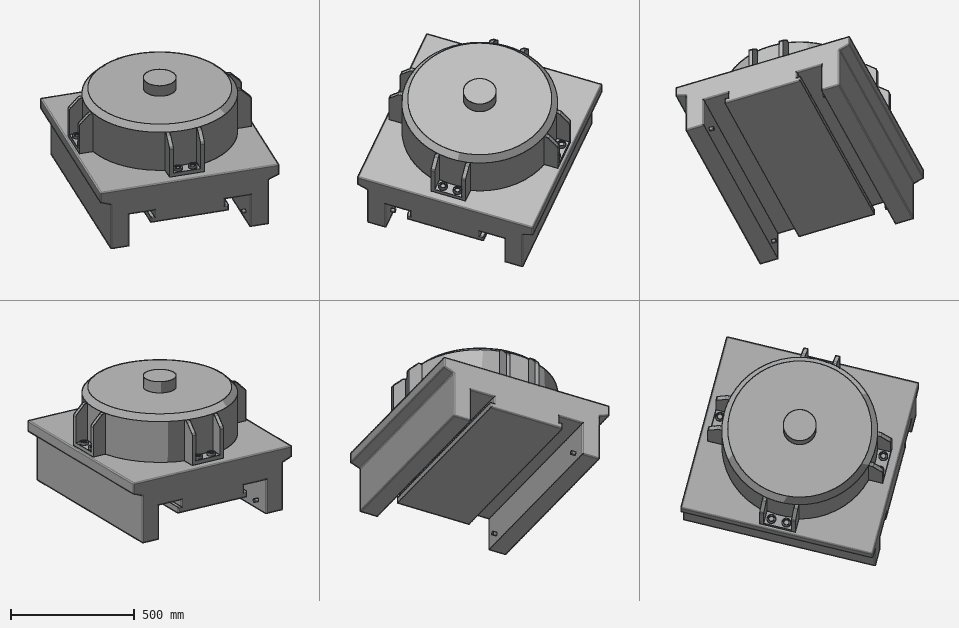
import cadquery as cq

base_length = 800.0
plate_width = 756.0
base_height = 270.0
plate_edge_height = 47.0
plate_taper_height = 17.0
leg_outer_y = 334.0
leg_thickness = 78.0
channel_ceiling_z = 149.0
tee_neck_y = 150.0
tee_foot_y = 164.0
tee_foot_top_z = 119.0
tee_foot_bottom_z = 94.0
edge_radius = 5.0

pin_diameter = 15.0
pin_length = 17.0
pin_z = 39.0
pin_x = 334.0

total_height = 521.0
housing_diameter = 629.0
housing_top_z = 472.0
housing_bevel = 24.0
boss_diameter = 133.0

bracket_count = 4
bracket_reach = 364.0
bracket_width = 149.0
bracket_wall = 17.0
bracket_floor = 17.0
bracket_slope = 44.0
bracket_bend_radius = 14.0

bolt_radial_place = 340.0
bolt_spacing = 62.0
bolt_head_diameter = 35.0
bolt_head_height = 10.0
bolt_head_round = 1.0
bolt_socket_diameter = 22.0
bolt_socket_depth = 5.0

plate_half_width = plate_width / 2
leg_inner_y = leg_outer_y - leg_thickness
housing_radius = housing_diameter / 2
bracket_top_z = housing_top_z - housing_bevel


def make_base():
    """Plate on two legs, with a T-shaped rail hanging between the legs."""
    plate_edge_z = base_height - plate_edge_height
    half_profile = [
        (plate_half_width, base_height),
        (plate_half_width, plate_edge_z),
        (leg_outer_y, plate_edge_z - plate_taper_height),
        (leg_outer_y, 0),
        (leg_inner_y, 0),
        (leg_inner_y, channel_ceiling_z),
        (tee_neck_y, channel_ceiling_z),
        (tee_neck_y, tee_foot_top_z),
        (tee_foot_y, tee_foot_top_z),
        (tee_foot_y, tee_foot_bottom_z),
    ]
    mirrored_profile = [(-y, z) for y, z in reversed(half_profile)]
    base = (
        cq.Workplane("YZ")
        .polyline(half_profile + mirrored_profile)
        .close()
        .extrude(base_length / 2, both=True)
    )
    end_edges = base.edges("#X")
    leg_middle_y = leg_outer_y - leg_thickness / 2
    outer_long_edges = base.edges("|X").filter(lambda edge: abs(edge.Center().y) > leg_middle_y)
    return base.newObject(end_edges.vals() + outer_long_edges.vals()).fillet(edge_radius)


def make_pin(x, side):
    """Pin on the inner face of one leg, pointing to the middle of the channel."""
    start = cq.Vector(x, side * leg_inner_y, pin_z)
    inward = cq.Vector(0, -side, 0)
    return cq.Workplane(cq.Solid.makeCylinder(pin_diameter / 2, pin_length, start, inward))


def make_housing():
    """Bevelled round housing with the boss at its centre."""
    housing = (
        cq.Workplane("XY", origin=(0, 0, base_height))
        .circle(housing_radius)
        .extrude(housing_top_z - base_height)
        .faces(">Z")
        .chamfer(housing_bevel)
    )
    boss = (
        cq.Workplane("XY", origin=(0, 0, housing_top_z))
        .circle(boss_diameter / 2)
        .extrude(total_height - housing_top_z)
    )
    return housing.union(boss)


def make_bracket():
    """Bracket on the +X side: two sloped cheeks, a floor and two bolt heads."""
    inner_end = housing_radius - bracket_slope
    slope_start_x = bracket_reach - bracket_slope
    slope_end_z = bracket_top_z - bracket_slope
    body = (
        cq.Workplane("XZ")
        .moveTo(inner_end, base_height)
        .lineTo(bracket_reach, base_height)
        .lineTo(bracket_reach, slope_end_z)
        .lineTo(slope_start_x, bracket_top_z)
        .lineTo(inner_end, bracket_top_z)
        .close()
        .extrude(bracket_width / 2, both=True)
    )
    selection_margin = 1.0
    slope_ends = cq.selectors.BoxSelector(
        (slope_start_x - selection_margin, -bracket_width, slope_end_z - selection_margin),
        (bracket_reach + selection_margin, bracket_width, bracket_top_z + selection_margin),
    )
    body = body.edges("|Y").edges(slope_ends).fillet(bracket_bend_radius)

    floor_z = base_height + bracket_floor
    opening = cq.Workplane("XY", origin=(0, 0, floor_z)).box(
        2 * bracket_reach,
        bracket_width - 2 * bracket_wall,
        bracket_top_z - floor_z,
        centered=(True, True, False),
    )
    bolts = (
        cq.Workplane("XY", origin=(bolt_radial_place, 0, floor_z))
        .rarray(8, bolt_spacing, 1, 2)
        .circle(bolt_head_diameter / 2)
        .extrude(bolt_head_height)
        .faces(">Z")
        .edges()
        .fillet(bolt_head_round)
        .faces(">Z")
        .workplane(origin=(bolt_radial_place, 0, 0))
        .rarray(8, bolt_spacing, 1, 2)
        .hole(bolt_socket_diameter, bolt_socket_depth)
    )
    return body.cut(opening).union(bolts)


result = make_base()

for end_side in (-1, 1):
    for leg_side in (-1, 1):
        result = result.union(make_pin(end_side * pin_x, leg_side))

bracket = make_bracket()
for index in range(bracket_count):
    turn = index * 360 / bracket_count
    result = result.union(bracket.rotate((0, 0, 0), (0, 0, 1), turn))

result = result.union(make_housing())